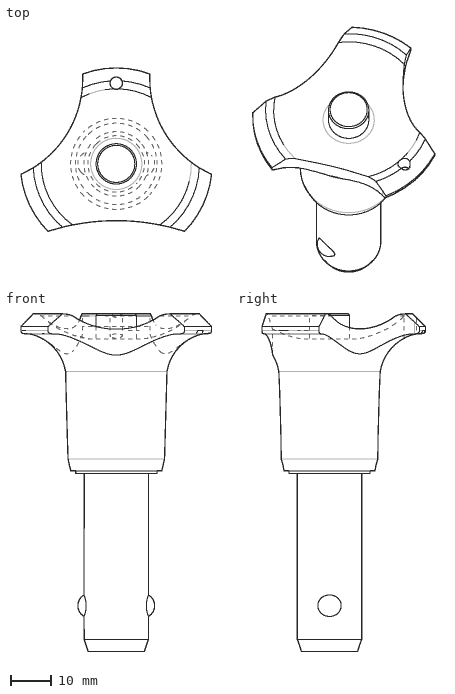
import cadquery as cq
import math

tip_chamfer_height = 3.0
ball_z = 11.35
collar_z = 44.1
collar_height = 0.65
sleeve_bevel_height = 2.95
flare_start_z = 69.4
total_height = 83.7

shank_radius = 8.0
tip_radius = 7.0
collar_radius = 10.1
sleeve_end_radius = 11.3
sleeve_bottom_radius = 12.0
sleeve_top_radius = 12.6

head_radius = 23.8
rim_bevel_start_z = 80.5
rim_top_radius = 20.6
rim_lower_rounding = 0.75
rim_underside_z = 78.75
flare_middle = (15.5, 75.3)
flare_end = (21.1, 78.6)

cup_floor_radius = 6.35
cup_floor_z = 77.4
cup_middle = (14.1, 79.86)
cup_lip = (18.6, 83.2)

button_radius = 5.0
button_chamfer = 0.4

ball_radius = 3.05
ball_reach = 9.55

side_scallop_radius = 26.0
wing_half_width = 8.33
side_scallop_y = 21.1
front_scallop_depth_y = -14.1
front_scallop_end = (17.1, -16.8)

lanyard_hole_diameter = 3.0
lanyard_hole_y = 20.0


def revolved_body():
    """Shank, collar, sleeve and cupped head as one solid of revolution."""
    bevel_start_z = collar_z + collar_height
    sleeve_start_z = bevel_start_z + sleeve_bevel_height
    rim_edge_z = rim_underside_z + rim_lower_rounding

    lip_width = rim_top_radius - cup_lip[0]
    lip_drop = total_height - cup_lip[1]
    lip_radius = (lip_width**2 + lip_drop**2) / (2 * lip_drop)
    half_turn = math.atan2(lip_drop, lip_width)
    lip_middle = (
        rim_top_radius - lip_radius * math.sin(half_turn),
        total_height - lip_radius * (1 - math.cos(half_turn)),
    )

    round_inset = rim_lower_rounding * (1 - math.sqrt(0.5))
    rim_round_middle = (head_radius - round_inset, rim_underside_z + round_inset)

    profile = (
        cq.Workplane("XZ")
        .moveTo(0, 0)
        .lineTo(tip_radius, 0)
        .lineTo(shank_radius, tip_chamfer_height)
        .lineTo(shank_radius, collar_z)
        .lineTo(collar_radius, collar_z)
        .lineTo(collar_radius, bevel_start_z)
        .lineTo(sleeve_end_radius, bevel_start_z)
        .lineTo(sleeve_bottom_radius, sleeve_start_z)
        .lineTo(sleeve_top_radius, flare_start_z)
        .threePointArc(flare_middle, flare_end)
        .lineTo(head_radius - rim_lower_rounding, rim_underside_z)
        .threePointArc(rim_round_middle, (head_radius, rim_edge_z))
        .lineTo(head_radius, rim_bevel_start_z)
        .lineTo(rim_top_radius, total_height)
        .threePointArc(lip_middle, cup_lip)
        .threePointArc(cup_middle, (cup_floor_radius, cup_floor_z))
        .lineTo(0, cup_floor_z)
        .close()
    )
    return profile.revolve(360, (0, 0, 0), (0, 1, 0))


def through_head(radius, centre_x, centre_y):
    """Vertical cylinder that passes through the whole head."""
    return (
        cq.Workplane("XY")
        .workplane(offset=flare_start_z)
        .center(centre_x, centre_y)
        .circle(radius)
        .extrude(total_height - flare_start_z)
    )


def side_scallops():
    """Round cuts beside the +Y wing, carried on as straight flanks parallel to Y."""
    cuts = cq.Workplane("XY")
    head_height = total_height - flare_start_z
    for side in (-1, 1):
        centre_x = side * (wing_half_width + side_scallop_radius)
        flank_strip = (
            cq.Workplane("XY")
            .workplane(offset=flare_start_z)
            .center(centre_x, side_scallop_y + side_scallop_radius / 2)
            .rect(2 * side_scallop_radius, side_scallop_radius)
            .extrude(head_height)
        )
        cuts = cuts.add(through_head(side_scallop_radius, centre_x, side_scallop_y))
        cuts = cuts.add(flank_strip)
    return cuts.combine()


def front_scallop():
    """Shallow round cut across the -Y side."""
    half_chord = front_scallop_end[0]
    sagitta = front_scallop_depth_y - front_scallop_end[1]
    radius = (half_chord**2 + sagitta**2) / (2 * sagitta)
    return through_head(radius, 0, front_scallop_depth_y - radius)


def push_button():
    """Round button that rises from the cup floor to the top of the head."""
    return (
        cq.Workplane("XY")
        .workplane(offset=cup_floor_z)
        .circle(button_radius)
        .extrude(total_height - cup_floor_z)
        .faces(">Z")
        .chamfer(button_chamfer)
    )


def locking_ball(side):
    """Ball that stands out of the shank on the given side of X."""
    centre_x = side * (ball_reach - ball_radius)
    return cq.Workplane("XY").sphere(ball_radius).translate((centre_x, 0, ball_z))


result = revolved_body().cut(side_scallops()).cut(front_scallop())
result = result.cut(through_head(lanyard_hole_diameter / 2, 0, lanyard_hole_y))
result = result.union(push_button())
for ball_side in (-1, 1):
    result = result.union(locking_ball(ball_side))